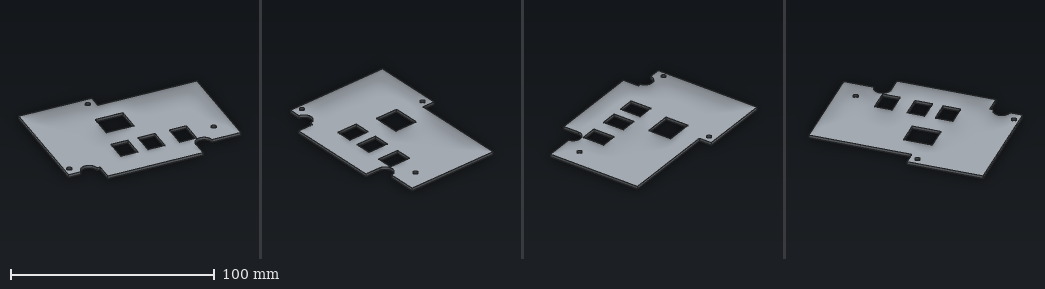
import cadquery as cq

width = 68.0
length = 93
thickness = 1.6

left_step = 7.1
left_shoulder = 39.5
body_right = 59.0
tab_bottom = 17.0
tab_top = 68.5

notch_radius = 4.4
notch_x = 59.3
notch_ys = [11.0, tab_top + notch_radius]

hole_diameter = 2.6
hole_centers = [(48.45, 83.05), (4.1, 35.5), (53.85, 2.8)]

main_window = (18.5, 32.9, 13.0, 14.9)
window_left = 42.3
window_width = 11.7
top_window_width = 12.1
window_height = 9.1
column_windows = [
    (30.5, window_width),
    (45.1, window_width),
    (62.0, top_window_width),
]


def make_plate():
    outline = [
        (0, 0),
        (body_right, 0),
        (body_right, tab_bottom),
        (width, tab_bottom),
        (width, tab_top),
        (body_right, tab_top),
        (body_right, length),
        (left_step, length),
        (left_step, left_shoulder),
        (0, left_shoulder),
    ]
    return cq.Workplane("XY").polyline(outline).close().extrude(thickness)


def round_cutters(centers, radius):
    return cq.Workplane("XY").pushPoints(centers).circle(radius).extrude(thickness)


def window_cutter(left, bottom, size_x, size_y):
    box = cq.Workplane("XY").box(size_x, size_y, thickness, centered=False)
    return box.translate((left, bottom, 0))


result = make_plate()
result = result.cut(round_cutters([(notch_x, y) for y in notch_ys], notch_radius))
result = result.cut(round_cutters(hole_centers, hole_diameter / 2))
result = result.cut(window_cutter(*main_window))
for bottom, size_x in column_windows:
    result = result.cut(window_cutter(window_left, bottom, size_x, window_height))